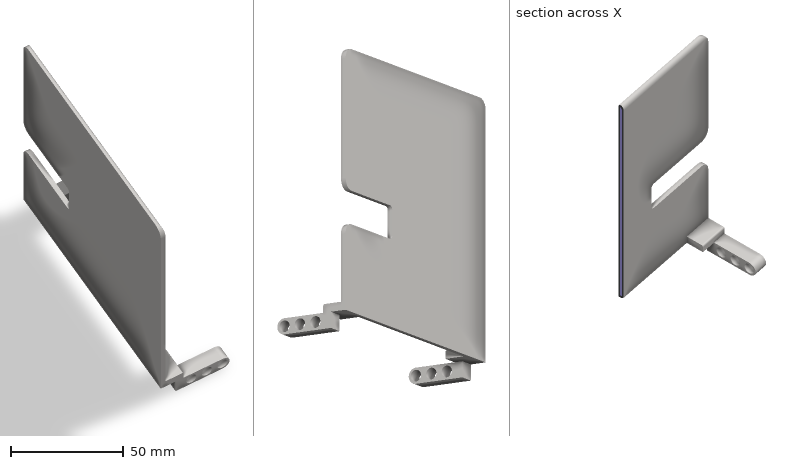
import cadquery as cq

plate_width = 120.0
total_height = 127.4
plate_thickness = 2.4
plate_corner_radius = 5.0
top_edge_radius = 2.3

slot_height = 15.3
slot_depth = 40.0
slot_centre_z = 55.0
slot_mouth_radius = 5.0
slot_end_radius = 1.8

foot_width = 15.2
foot_length = 11.7
foot_height = 4.0
foot_edge_radius = 0.9

arm_width = 7.4
arm_height = 7.4
arm_front_y = 7.6
arm_back_y = 35.5
hole_diameter = 5.3
hole_pitch = 8.0
hole_count = 3

plate_bottom = arm_height
plate_height = total_height - plate_bottom
arm_end_radius = arm_height / 2
last_hole_y = arm_back_y - arm_end_radius
left_x = -plate_width / 2
right_x = plate_width / 2

select_margin = 1.3


def box(x, y, z, width, depth, height):
    """Box placed by its lowest X, Y and Z corner."""
    return cq.Workplane("XY").box(width, depth, height, centered=False).translate((x, y, z))


def make_plate():
    plate = box(left_x, 0, plate_bottom, plate_width, plate_thickness, plate_height)
    plate = plate.edges("|Y and >Z").fillet(plate_corner_radius)

    slot = box(left_x, 0, slot_centre_z - slot_height / 2, slot_depth, plate_thickness, slot_height)
    plate = plate.cut(slot.edges("|Y and >X").fillet(slot_end_radius))
    mouth_edges = cq.selectors.BoxSelector(
        (left_x - select_margin, 0, slot_centre_z - slot_height),
        (left_x + select_margin, plate_thickness, slot_centre_z + slot_height),
    )
    plate = plate.edges("|Y").edges(mouth_edges).fillet(slot_mouth_radius)

    edge_y = plate_thickness - top_edge_radius
    edge_z = total_height - top_edge_radius
    edge_waste = box(left_x, edge_y, edge_z, plate_width, top_edge_radius, top_edge_radius)
    rounded_edge = (
        cq.Workplane("YZ", origin=(left_x, edge_y, edge_z))
        .circle(top_edge_radius)
        .extrude(plate_width)
    )
    return plate.cut(edge_waste.cut(rounded_edge))


def make_foot(x):
    foot = box(x, 0, plate_bottom, foot_width, foot_length, foot_height)
    return foot.edges(">Y and >Z").fillet(foot_edge_radius)


def make_arm(x):
    arm = box(x, arm_front_y, 0, arm_width, last_hole_y - arm_front_y, arm_height)
    rounded_end = (
        cq.Workplane("YZ", origin=(x, last_hole_y, arm_end_radius))
        .circle(arm_end_radius)
        .extrude(arm_width)
    )
    holes = (
        cq.Workplane("YZ", origin=(x, last_hole_y, arm_end_radius))
        .pushPoints([(-i * hole_pitch, 0) for i in range(hole_count)])
        .circle(hole_diameter / 2)
        .extrude(arm_width)
    )
    return arm.union(rounded_end).cut(holes)


def make_bracket(foot_x, arm_x):
    """Foot with the arm joined under its rear end."""
    return make_foot(foot_x).union(make_arm(arm_x))


left_bracket = make_bracket(left_x, left_x)
right_bracket = make_bracket(right_x - foot_width, right_x - arm_width)
result = make_plate().union(left_bracket).union(right_bracket)